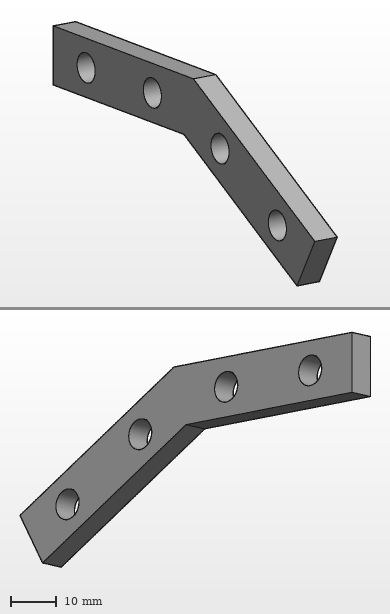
import cadquery as cq
import math

overall_length = 98.9
thickness = 6.0
arm_width = 13.45
bend_angle = 30.0
hole_diameter = 6.8
hole_end_distance = 12.5
hole_spacing = 25.0

bend = math.radians(bend_angle)
outer_length = overall_length / (1 + math.cos(bend))
inner_length = outer_length - arm_width * math.tan(bend / 2)


def arm_point(along, across):
    """Point on the sloping arm, from the outer bend corner: along it and inward across it."""
    x = outer_length + along * math.cos(bend) - across * math.sin(bend)
    z = -along * math.sin(bend) - across * math.cos(bend)
    return (x, z)


outline = [
    (0, 0),
    (outer_length, 0),
    arm_point(outer_length, 0),
    arm_point(outer_length, arm_width),
    (inner_length, -arm_width),
    (0, -arm_width),
]
bar = cq.Workplane("XZ").polyline(outline).close().extrude(thickness)

hole_centres = []
for end_distance in (hole_end_distance, hole_end_distance + hole_spacing):
    hole_centres.append((end_distance, -arm_width / 2))
    hole_centres.append(arm_point(outer_length - end_distance, arm_width / 2))

holes = (
    cq.Workplane("XZ")
    .pushPoints(hole_centres)
    .circle(hole_diameter / 2)
    .extrude(thickness)
)

result = bar.cut(holes)